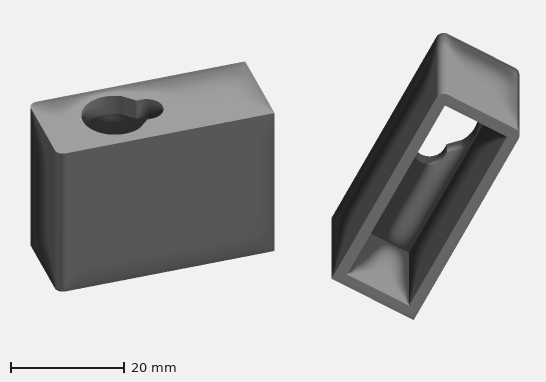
import cadquery as cq
import math

width = 16.5
length = 40.4
height = 30.0
front_corner_radius = 1.5

wall = 2.0
roof_thickness = 4.0

entry_y = 13.37
entry_radius = 5.9
slot_radius = 3.05
slot_center_y = entry_y + entry_radius


def make_block():
    block = cq.Workplane("XY").box(width, length, height, centered=(True, False, False))
    return block.edges("|Z and <Y").fillet(front_corner_radius)


def make_cavity():
    return (
        cq.Workplane("XY")
        .center(0, length / 2)
        .rect(width - 2 * wall, length - 2 * wall)
        .extrude(height - roof_thickness)
    )


def make_keyhole():
    slot_reach = math.sqrt(entry_radius**2 - slot_radius**2)
    slot_corner_y = entry_y + slot_reach
    flat_end_x = slot_reach
    flat_end_y = entry_y + slot_radius
    return (
        cq.Workplane("XY")
        .moveTo(-slot_radius, slot_corner_y)
        .lineTo(-slot_radius, slot_center_y)
        .threePointArc((0, slot_center_y + slot_radius), (slot_radius, slot_center_y))
        .lineTo(slot_radius, slot_corner_y)
        .lineTo(flat_end_x, flat_end_y)
        .threePointArc((0, entry_y - entry_radius), (-flat_end_x, flat_end_y))
        .close()
        .extrude(height)
    )


result = make_block().cut(make_cavity()).cut(make_keyhole())